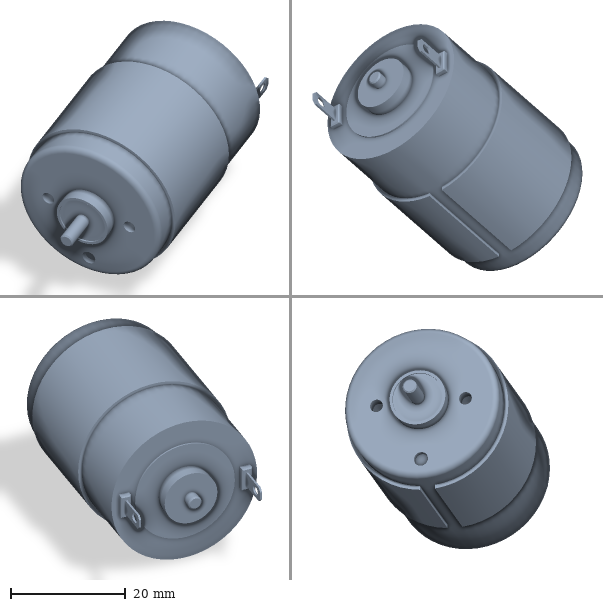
import cadquery as cq
import math

shaft_diameter = 2.5
shaft_tip_diameter = 2.0
shaft_rear_y = 51.0

boss_diameter = 10.0
front_boss_y = 5.95
rear_boss_y = 49.1
bearing_recess_diameter = 9.0
bearing_recess_depth = 0.25

can_diameter = 27.7
can_front_y = 8.5
can_rear_y = 46.15
can_edge_radius = 1.0

end_plate_diameter = 19.0
end_plate_thickness = 0.3

sleeve_diameter = 29.1
sleeve_front_y = 13.2
sleeve_length = 20.0
sleeve_gap_width = 2.65

mount_hole_diameter = 2.3
mount_hole_depth = 2.15
mount_hole_offset = 8.0
drill_point_angle = 118.0

locating_hole_diameter = 2.5
locating_hole_depth = 1.0
locating_hole_drop = 10.55

terminal_offset = 11.5
terminal_base_width = 1.9
terminal_base_height = 4.35
terminal_base_length = 1.1
terminal_base_chamfer = 0.2

tab_tip_y = 53.3
tab_width = 2.75
tab_thickness = 0.35
tab_corner = 0.65
tab_slot_length = 2.1
tab_slot_width = 1.5
tab_slot_center_y = 51.2


def cylinder_y(diameter, start_y, end_y, x=0, z=0):
    """Solid cylinder along +Y between two Y positions."""
    axis_start = cq.Vector(x, start_y, z)
    solid = cq.Solid.makeCylinder(diameter / 2, end_y - start_y, axis_start, cq.Vector(0, 1, 0))
    return cq.Workplane(solid)


def box_y(width, height, start_y, end_y, x=0, z=0):
    """Box centred on (x, z) between two Y positions."""
    length = end_y - start_y
    return cq.Workplane().box(width, length, height).translate((x, (start_y + end_y) / 2, z))


def make_can():
    can = cylinder_y(can_diameter, can_front_y, can_rear_y)
    return can.faces("<Y").edges().fillet(can_edge_radius)


def make_sleeve():
    """Flux ring around the can, split along its underside."""
    sleeve_rear_y = sleeve_front_y + sleeve_length
    ring = cylinder_y(sleeve_diameter, sleeve_front_y, sleeve_rear_y)
    ring = ring.cut(cylinder_y(can_diameter, sleeve_front_y, sleeve_rear_y))
    ring = ring.rotate((0, 0, 0), (0, 1, 0), 180)
    gap = box_y(sleeve_gap_width, can_diameter, sleeve_front_y, sleeve_rear_y, z=-can_diameter / 2)
    return ring.cut(gap)


def make_bosses():
    front = cylinder_y(boss_diameter, front_boss_y, can_front_y)
    front = front.cut(cylinder_y(bearing_recess_diameter, front_boss_y, front_boss_y + bearing_recess_depth))
    rear = cylinder_y(boss_diameter, can_rear_y, rear_boss_y)
    return front.union(rear)


def make_shaft():
    tip_chamfer = (shaft_diameter - shaft_tip_diameter) / 2
    shaft = cylinder_y(shaft_diameter, 0, shaft_rear_y)
    return shaft.faces("<Y or >Y").edges().chamfer(tip_chamfer)


def make_mount_hole(x):
    """Blind hole with a drill-point bottom."""
    radius = mount_hole_diameter / 2
    point_depth = radius / math.tan(math.radians(drill_point_angle / 2))
    bottom_y = can_front_y + mount_hole_depth
    bore = cylinder_y(mount_hole_diameter, can_front_y, bottom_y, x=x)
    point = cq.Solid.makeCone(radius, 0, point_depth, cq.Vector(x, bottom_y, 0), cq.Vector(0, 1, 0))
    return bore.union(cq.Workplane(point))


def make_terminal(x):
    """Insulating base with a flat, slotted solder tab."""
    base_rear_y = can_rear_y + terminal_base_length
    base = box_y(terminal_base_width, terminal_base_height, can_rear_y, base_rear_y, x=x)
    base = base.faces(">Y").edges().chamfer(terminal_base_chamfer)
    tab = box_y(tab_thickness, tab_width, can_rear_y, tab_tip_y, x=x)
    tab = tab.faces(">Y").edges("|X").chamfer(tab_corner)
    slot = (
        cq.Workplane("YZ")
        .center(tab_slot_center_y, 0)
        .slot2D(tab_slot_length, tab_slot_width)
        .extrude(tab_thickness, both=True)
        .translate((x, 0, 0))
    )
    return base.union(tab.cut(slot))


end_plate = cylinder_y(end_plate_diameter, can_rear_y, can_rear_y + end_plate_thickness)
result = make_can().union(make_sleeve()).union(end_plate).union(make_bosses()).union(make_shaft())

for side in (-1, 1):
    result = result.union(make_terminal(side * terminal_offset))
    result = result.cut(make_mount_hole(side * mount_hole_offset))

locating_hole_bottom_y = can_front_y + locating_hole_depth
result = result.cut(
    cylinder_y(locating_hole_diameter, can_front_y, locating_hole_bottom_y, z=-locating_hole_drop)
)